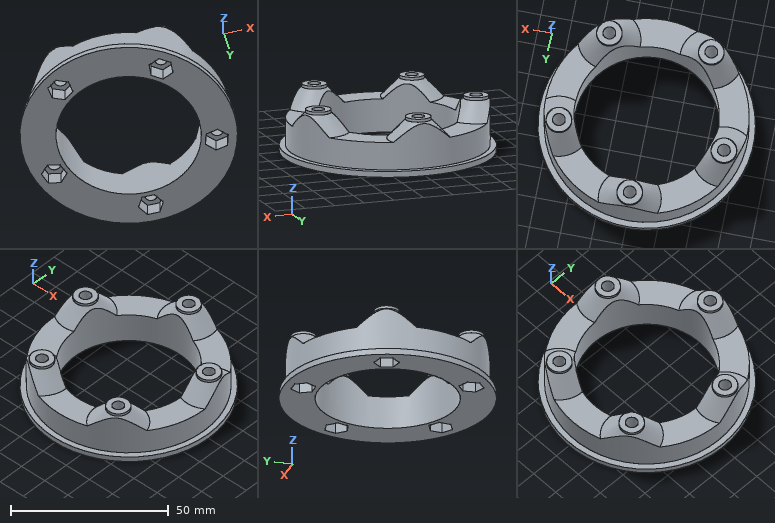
import cadquery as cq

FLANGE_DIAMETER = 69.0
FLANGE_THICKNESS = 2.0
WALL_DIAMETER = 65.0
BORE_DIAMETER = 46.0
SHELF_HEIGHT = 11.0
TOTAL_HEIGHT = 18.0

BOSS_COUNT = 5
BOSS_CIRCLE_RADIUS = 28.0
FIRST_BOSS_ANGLE = 90.0
BOSS_BASE_DIAMETER = 20.0
CAP_DIAMETER = 8.15
CAP_THICKNESS = 1.0
CAP_BOTTOM = TOTAL_HEIGHT - CAP_THICKNESS

HOLE_DIAMETER = 4.0
NUT_CORNER_DIAMETER = 8.1
NUT_POCKET_DEPTH = 5.0
NUT_CORNER_ANGLE = 30.0


def disc(diameter, height):
    """Disc standing on the base plane, centred on the ring axis."""
    return cq.Workplane("XY").circle(diameter / 2).extrude(height)


def boss():
    """Boss at the origin: straight foot, cone above the shelf and a short round cap."""
    base_radius = BOSS_BASE_DIAMETER / 2
    cap_radius = CAP_DIAMETER / 2
    return (
        cq.Workplane("XZ")
        .lineTo(base_radius, 0)
        .lineTo(base_radius, SHELF_HEIGHT)
        .lineTo(cap_radius, CAP_BOTTOM)
        .lineTo(cap_radius, TOTAL_HEIGHT)
        .lineTo(0, TOTAL_HEIGHT)
        .close()
        .revolve(360, (0, 0), (0, 1))
    )


def screw_cutter():
    """Through hole at the origin with a hexagonal nut pocket open at the base."""
    hole = disc(HOLE_DIAMETER, TOTAL_HEIGHT)
    pocket = cq.Workplane("XY").polygon(6, NUT_CORNER_DIAMETER).extrude(NUT_POCKET_DEPTH)
    return hole.union(pocket.rotate((0, 0, 0), (0, 0, 1), NUT_CORNER_ANGLE))


def at_boss(shape, index):
    """Move a shape from the origin to a boss position, turned to face the ring axis."""
    angle = FIRST_BOSS_ANGLE + index * 360 / BOSS_COUNT
    return shape.translate((BOSS_CIRCLE_RADIUS, 0, 0)).rotate((0, 0, 0), (0, 0, 1), angle)


body = disc(WALL_DIAMETER, SHELF_HEIGHT)
wall_envelope = disc(WALL_DIAMETER, TOTAL_HEIGHT)
for boss_index in range(BOSS_COUNT):
    body = body.union(at_boss(boss(), boss_index).intersect(wall_envelope))

body = body.union(disc(FLANGE_DIAMETER, FLANGE_THICKNESS))

body = body.cut(disc(BORE_DIAMETER, TOTAL_HEIGHT))

for boss_index in range(BOSS_COUNT):
    body = body.cut(at_boss(screw_cutter(), boss_index))

result = body